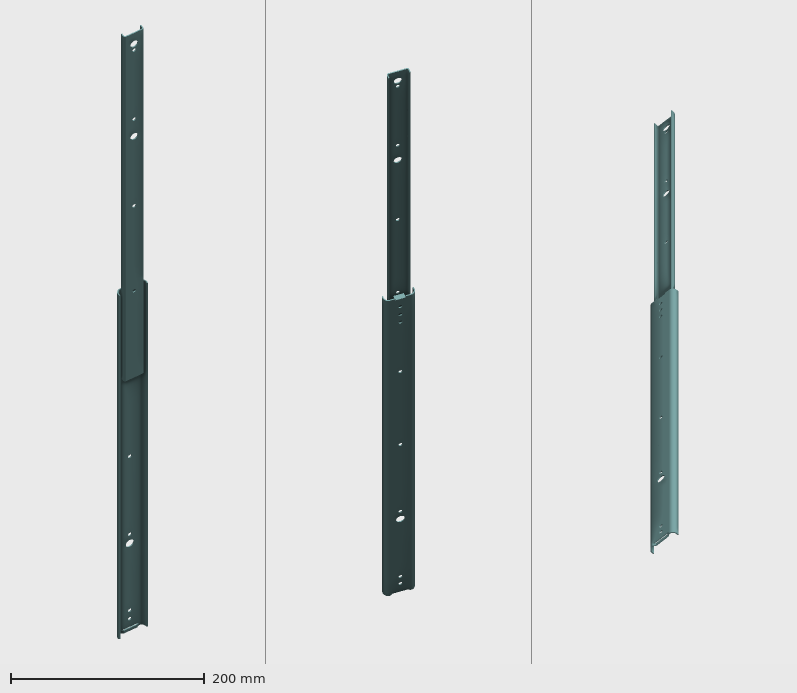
import cadquery as cq
import math

depth = 9.6
outer_width = 35.3
overall_length = 886.95
outer_length = 508.0
inner_length = 508.0
travel = overall_length - inner_length
thickness = 1.2

back_x = -depth / 2
front_x = depth / 2

corner_radius = 5.6
side_radius = 6.8
corner_start_angle = math.radians(-90)
joint_angle = math.radians(-40)
side_end_angle = math.radians(19)
side_centre_y = outer_width / 2 - side_radius
corner_centre_x = back_x + corner_radius
corner_centre_y = side_centre_y + (side_radius - corner_radius) * math.cos(joint_angle)
side_centre_x = corner_centre_x - (side_radius - corner_radius) * math.sin(joint_angle)
web_half_width = corner_centre_y

stop_width = 11.5
stop_gap = 2.0
stop_reach = 6.0
bridge_height = 4.0
bridge_depth = 1.6
bridge_base_width = 22.0
bridge_flat_width = 16.0
corner_cut_x = 1.5
corner_cut_height = 2.0

inner_width = 24.4
inner_depth = 6.3
inner_bend_radius = 2.2

screw_diameter = 4.5
inner_mount_diameter = 9.0
outer_mount_diameter = 10.0
outer_mount_height = 127.0
outer_screw_heights = [16.0, 28.0, 140.3, 255.2, 380.7, 466.2, 479.5, 493.0]
inner_screw_drops = [25.3, 127.0, 255.0, 380.0]
inner_mount_drops = [16.0, 152.4]


def corner_point(inset, angle, side):
    """Point on the corner arc, set in from the outer face of the sheet."""
    radius = corner_radius - inset
    x = corner_centre_x + radius * math.sin(angle)
    y = corner_centre_y + radius * math.cos(angle)
    return (x, side * y)


def side_point(inset, angle, side):
    """Point on the side arc, set in from the outer face of the sheet."""
    radius = side_radius - inset
    x = side_centre_x + radius * math.sin(angle)
    y = side_centre_y + radius * math.cos(angle)
    return (x, side * y)


def box(x_range, y_width, z_range):
    """Box centred on the XZ plane."""
    x_size = x_range[1] - x_range[0]
    z_size = z_range[1] - z_range[0]
    block = cq.Workplane("XY").box(x_size, y_width, z_size, centered=(False, True, False))
    return block.translate((x_range[0], 0, z_range[0]))


def drill(x_range, diameter, heights):
    """Round cutters along X at the given heights."""
    points = [(0, z) for z in heights]
    plane = cq.Workplane("YZ", origin=(x_range[0], 0, 0))
    return plane.pushPoints(points).circle(diameter / 2).extrude(x_range[1] - x_range[0])


def make_flange(side):
    corner_middle = (corner_start_angle + joint_angle) / 2
    side_middle = (joint_angle + side_end_angle) / 2
    flange = (
        cq.Workplane("XY")
        .moveTo(*corner_point(0, corner_start_angle, side))
        .threePointArc(corner_point(0, corner_middle, side), corner_point(0, joint_angle, side))
        .threePointArc(side_point(0, side_middle, side), side_point(0, side_end_angle, side))
        .lineTo(*side_point(thickness, side_end_angle, side))
        .threePointArc(
            side_point(thickness, side_middle, side),
            side_point(thickness, joint_angle, side),
        )
        .threePointArc(
            corner_point(thickness, corner_middle, side),
            corner_point(thickness, corner_start_angle, side),
        )
        .close()
        .extrude(outer_length)
    )

    corner = (
        cq.Workplane("XZ", origin=(0, outer_width / 2, 0))
        .polyline([(corner_cut_x, 0), (front_x, 0), (front_x, corner_cut_height)])
        .close()
        .extrude(outer_width)
    )
    return flange.cut(corner)


def make_bridge():
    """Trapezoidal strip of sheet at the bottom of the web, raised towards +X."""
    base = bridge_base_width / 2
    flat = bridge_flat_width / 2
    raised_x = back_x + bridge_depth
    outline = [
        (back_x, -base),
        (raised_x, -flat),
        (raised_x, flat),
        (back_x, base),
        (back_x + thickness, base),
        (raised_x + thickness, flat),
        (raised_x + thickness, -flat),
        (back_x + thickness, -base),
    ]
    return cq.Workplane("XY").polyline(outline).close().extrude(bridge_height)


def make_web():
    web_range = (back_x, back_x + thickness)
    web = box(web_range, 2 * web_half_width, (0, outer_length))

    tab_top = outer_length - stop_gap
    web = web.cut(box(web_range, stop_width, (tab_top, outer_length)))
    web = web.union(box((back_x, back_x + stop_reach), stop_width, (tab_top - thickness, tab_top)))

    web = web.cut(box(web_range, bridge_base_width, (0, bridge_height)))
    web = web.union(make_bridge())

    web = web.cut(drill(web_range, screw_diameter, outer_screw_heights))
    return web.cut(drill(web_range, outer_mount_diameter, [outer_mount_height]))


def make_outer_member():
    member = make_web()
    for side in (1, -1):
        member = member.union(make_flange(side))
    return member


def make_inner_member():
    start_x = front_x - inner_depth
    top_z = travel + inner_length
    block = box((start_x, front_x), inner_width, (travel, top_z))
    block = block.edges("|Z and >X").fillet(inner_bend_radius)
    cavity = box((start_x, front_x - thickness), inner_width - 2 * thickness, (travel, top_z))
    cavity = cavity.edges("|Z and >X").fillet(inner_bend_radius - thickness)
    member = block.cut(cavity)

    web_range = (front_x - thickness, front_x)
    screw_heights = [top_z - drop for drop in inner_screw_drops]
    mount_heights = [top_z - drop for drop in inner_mount_drops]
    member = member.cut(drill(web_range, screw_diameter, screw_heights))
    return member.cut(drill(web_range, inner_mount_diameter, mount_heights))


outer_member = make_outer_member()
inner_member = make_inner_member()

result = cq.Compound.makeCompound([outer_member.solids().val(), inner_member.solids().val()])